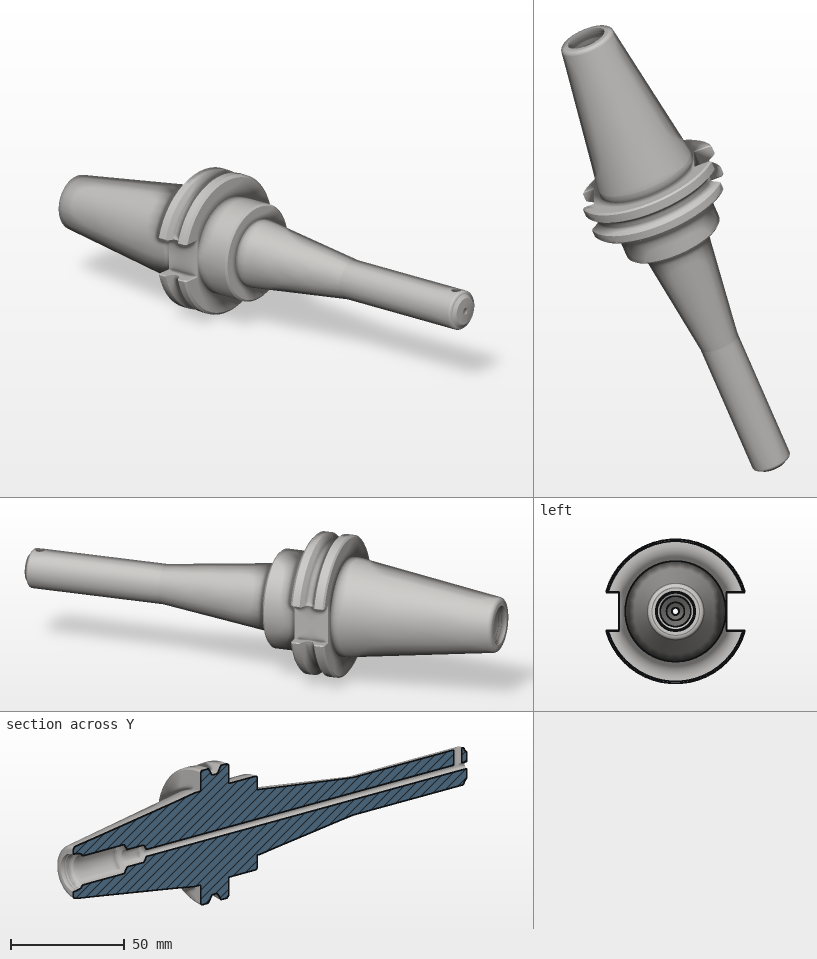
import cadquery as cq
import math

total_length = 220.6
taper_length = 68.5
flange_start = 71.5
flange_end = 87.4
collar_end = 103.5
cone_start = 104.5
shank_start = 156.9

gauge_diameter = 44.4
taper_slope = 7 / 24
flange_diameter = 63.5
cone_diameter = 31.0
shank_diameter = 17.9

nose_length = 1.3
nose_tip_diameter = 12.1

taper_end_fillet = 2.0
collar_chamfer = 0.9
shank_end_fillet = 1.3
flange_front_chamfer_length = 0.7
flange_front_chamfer_height = 0.9
flange_rear_chamfer = 1.0

groove_center = 79.5
groove_floor_diameter = 56.5
groove_floor_width = 2.9
groove_floor_fillet = 0.7
groove_wall_angle = 30.0

slot_width = 16.5
slot_floor_front = 22.5
slot_floor_back = 25.0
slot_edge_chamfer = 0.5
selection_margin = 0.2

mouth_diameter = 17.5
mouth_depth = 2.2
recess_diameter = 16.8
recess_depth = 3.5
seat_diameter = 16.3
seat_depth = 4.2
thread_diameter = 13.5
thread_start = 5.5
thread_depth = 28.7
pocket_diameter = 8.0
pocket_depth = 39.7
coolant_diameter = 3.0
drill_point_angle = 118.0
drill_point_slope = 1 / math.tan(math.radians(drill_point_angle / 2))

screw_diameter = 4.5
screw_position = 215.5


def revolve_about_x(profile):
    return profile.close().revolve(360, (0, 0, 0), (1, 0, 0))


def make_body():
    """Taper, flange blank, collar, cone and shank as one turned solid."""
    gauge_radius = gauge_diameter / 2
    small_radius = gauge_radius - taper_length * taper_slope / 2
    flange_radius = flange_diameter / 2
    nose_start = total_length - nose_length
    blank = revolve_about_x(
        cq.Workplane("XY")
        .moveTo(0, 0)
        .lineTo(0, small_radius)
        .lineTo(taper_length, gauge_radius)
        .lineTo(flange_start, gauge_radius)
        .lineTo(flange_start, flange_radius - flange_front_chamfer_height)
        .lineTo(flange_start + flange_front_chamfer_length, flange_radius)
        .lineTo(flange_end - flange_rear_chamfer, flange_radius)
        .lineTo(flange_end, flange_radius - flange_rear_chamfer)
        .lineTo(flange_end, gauge_radius)
        .lineTo(collar_end - collar_chamfer, gauge_radius)
        .lineTo(collar_end, gauge_radius - collar_chamfer)
        .lineTo(collar_end, cone_diameter / 2)
        .lineTo(cone_start, cone_diameter / 2)
        .lineTo(shank_start, shank_diameter / 2)
        .lineTo(nose_start - shank_end_fillet, shank_diameter / 2)
        .radiusArc((nose_start, shank_diameter / 2 - shank_end_fillet), shank_end_fillet)
        .lineTo(total_length, nose_tip_diameter / 2)
        .lineTo(total_length, 0)
    )
    return blank.faces("<X").edges().fillet(taper_end_fillet)


def make_groove():
    """Ring cutter with a V profile and rounded floor corners."""
    floor_radius = groove_floor_diameter / 2
    rim_radius = flange_diameter / 2
    half_floor = groove_floor_width / 2
    half_rim = half_floor + (rim_radius - floor_radius) * math.tan(math.radians(groove_wall_angle))
    groove = revolve_about_x(
        cq.Workplane("XY")
        .moveTo(groove_center - half_floor, floor_radius)
        .lineTo(groove_center - half_rim, rim_radius)
        .lineTo(groove_center + half_rim, rim_radius)
        .lineTo(groove_center + half_floor, floor_radius)
    )
    floor_edges = cq.selectors.RadiusNthSelector(0)
    return groove.edges(floor_edges).fillet(groove_floor_fillet)


def make_slot(floor_distance, side):
    """Rectangular slot reaching outward from its floor; side is +1 or -1 along Y."""
    reach = flange_diameter
    return cq.Workplane("XY").box(flange_end - flange_start, reach, slot_width).translate(
        ((flange_start + flange_end) / 2, side * (floor_distance + reach / 2), 0)
    )


def cut_slot(body, floor_distance, side):
    """Cut one slot and break the outer edges of its two walls; the floor corners stay sharp."""
    body = body.cut(make_slot(floor_distance, side))
    half_zone = slot_width / 2 + selection_margin
    wall_outer_zone = cq.selectors.BoxSelector(
        (flange_start - selection_margin, side * (floor_distance + selection_margin), -half_zone),
        (flange_end + selection_margin, side * flange_diameter, half_zone),
    )
    return body.edges(wall_outer_zone).chamfer(slot_edge_chamfer)


def make_bore():
    """Stepped bore from the taper end, running on as the coolant channel to the far end."""
    thread_cone = (thread_diameter - pocket_diameter) / 2 * drill_point_slope
    pocket_cone = (pocket_diameter - coolant_diameter) / 2 * drill_point_slope
    return revolve_about_x(
        cq.Workplane("XY")
        .moveTo(0, 0)
        .lineTo(0, mouth_diameter / 2)
        .lineTo(mouth_depth, mouth_diameter / 2)
        .lineTo(mouth_depth, recess_diameter / 2)
        .lineTo(recess_depth, recess_diameter / 2)
        .lineTo(recess_depth, seat_diameter / 2)
        .lineTo(seat_depth, seat_diameter / 2)
        .lineTo(thread_start, thread_diameter / 2)
        .lineTo(thread_depth, thread_diameter / 2)
        .lineTo(thread_depth + thread_cone, pocket_diameter / 2)
        .lineTo(pocket_depth, pocket_diameter / 2)
        .lineTo(pocket_depth + pocket_cone, coolant_diameter / 2)
        .lineTo(total_length, coolant_diameter / 2)
        .lineTo(total_length, 0)
    )


def make_screw_hole():
    """Hole from the top of the shank down to its axis."""
    return cq.Workplane("XY").center(screw_position, 0).circle(screw_diameter / 2).extrude(shank_diameter)


result = make_body()
result = cut_slot(result, slot_floor_front, -1)
result = cut_slot(result, slot_floor_back, 1)
result = result.cut(make_groove()).cut(make_bore()).cut(make_screw_hole())